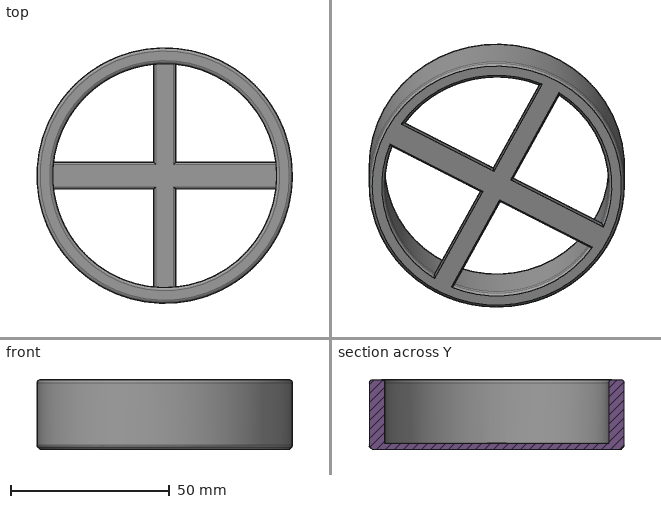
import cadquery as cq

outer_diameter = 80.5
bore_diameter = 70.5
ring_height = 22.0
rim_fillet = 1.0

x_bar_width = 8.5
y_bar_width = 7.0
bar_thickness = 2.0
bar_top_fillet = 0.7

ring_chamfer = 1.0
ring_blend_radius = 1.0
bar_chamfer = 0.5
bar_blend_radius = 0.7

outer_radius = outer_diameter / 2
bore_radius = bore_diameter / 2
bar_length = outer_radius + bore_radius


def upper_chamfer_edges(body, chamfer):
    """Select the edges along the upper corners of the underside chamfers."""
    margin = chamfer / 100
    reach = outer_diameter
    lower_corner = (-reach, -reach, chamfer - margin)
    upper_corner = (reach, reach, chamfer + margin)
    return body.edges(cq.selectors.BoxSelector(lower_corner, upper_corner, boundingbox=True))


def ring():
    """Ring with a rounded top rim and blended chamfers around its foot."""
    body = cq.Workplane("XY").circle(outer_radius).circle(bore_radius).extrude(ring_height)
    body = body.faces(">Z").edges().fillet(rim_fillet)
    body = body.faces("<Z").edges().chamfer(ring_chamfer)
    return upper_chamfer_edges(body, ring_chamfer).fillet(ring_blend_radius)


def bar(width):
    """Bar along X with rounded upper edges and blended chamfers along its lower edges."""
    body = cq.Workplane("XY").rect(bar_length, width).extrude(bar_thickness)
    body = body.faces("<Z").edges("|X").chamfer(bar_chamfer)
    body = upper_chamfer_edges(body, bar_chamfer).edges("|X").fillet(bar_blend_radius)
    return body.faces(">Z").edges("|X").fillet(bar_top_fillet)


x_bar = bar(x_bar_width)
y_bar = bar(y_bar_width).rotate((0, 0, 0), (0, 0, 1), 90)

result = ring().union(x_bar).union(y_bar)